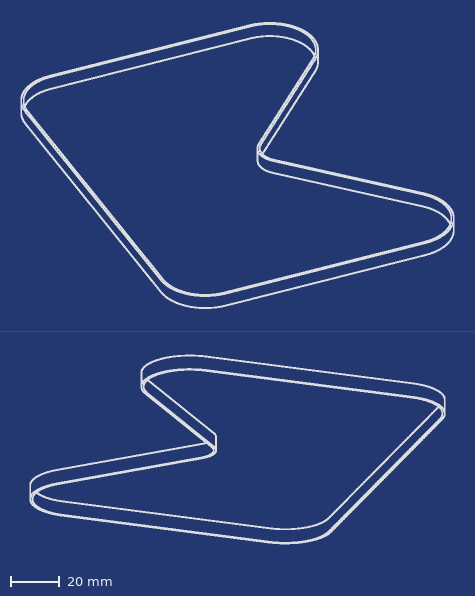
import cadquery as cq
import math

BELT_LENGTH_X = 176.0
BELT_LENGTH_Y = 130.55
BELT_WIDTH = 6.0
BELT_THICKNESS = 1.0
CORNER_RADIUS = 20.0
IDLER_RADIUS = 9.0
IDLER_DROP = 25.3

CORNER_X = BELT_LENGTH_X / 2 - CORNER_RADIUS
CORNER_Y = BELT_LENGTH_Y / 2 - CORNER_RADIUS
IDLER_Y = CORNER_Y - IDLER_DROP

CENTRE_DISTANCE = math.hypot(CORNER_X, IDLER_DROP)
CENTRE_LINE_SLOPE = math.atan2(IDLER_DROP, CORNER_X)
RUN_SLOPE = CENTRE_LINE_SLOPE + math.asin((CORNER_RADIUS + IDLER_RADIUS) / CENTRE_DISTANCE)

RIGHTWARD = 0
UPWARD = math.pi / 2
LEFTWARD = math.pi
DOWNWARD = 3 * math.pi / 2
FULL_TURN = 2 * math.pi


def on_circle(centre, radius, angle):
    """Point on a circle at the given direction from its centre."""
    return (centre[0] + radius * math.cos(angle), centre[1] + radius * math.sin(angle))


def belt_block(inset):
    """Solid block bounded by the belt's outer face moved inwards by inset."""
    corner_radius = CORNER_RADIUS - inset
    idler_radius = IDLER_RADIUS + inset

    bends = [
        ((-CORNER_X, -CORNER_Y), corner_radius, LEFTWARD, DOWNWARD),
        ((CORNER_X, -CORNER_Y), corner_radius, DOWNWARD, FULL_TURN),
        ((CORNER_X, CORNER_Y), corner_radius, RIGHTWARD, UPWARD + RUN_SLOPE),
        ((0, IDLER_Y), idler_radius, DOWNWARD + RUN_SLOPE, DOWNWARD - RUN_SLOPE),
        ((-CORNER_X, CORNER_Y), corner_radius, UPWARD - RUN_SLOPE, LEFTWARD),
    ]

    first_centre, first_radius, first_start, _ = bends[0]
    outline = cq.Workplane("XY").moveTo(*on_circle(first_centre, first_radius, first_start))
    for index, (centre, radius, start, end) in enumerate(bends):
        if index > 0:
            outline = outline.lineTo(*on_circle(centre, radius, start))
        middle = (start + end) / 2
        outline = outline.threePointArc(
            on_circle(centre, radius, middle),
            on_circle(centre, radius, end),
        )
    return outline.close().extrude(BELT_WIDTH)


outer_block = belt_block(0)
inner_block = belt_block(BELT_THICKNESS)
result = outer_block.cut(inner_block)